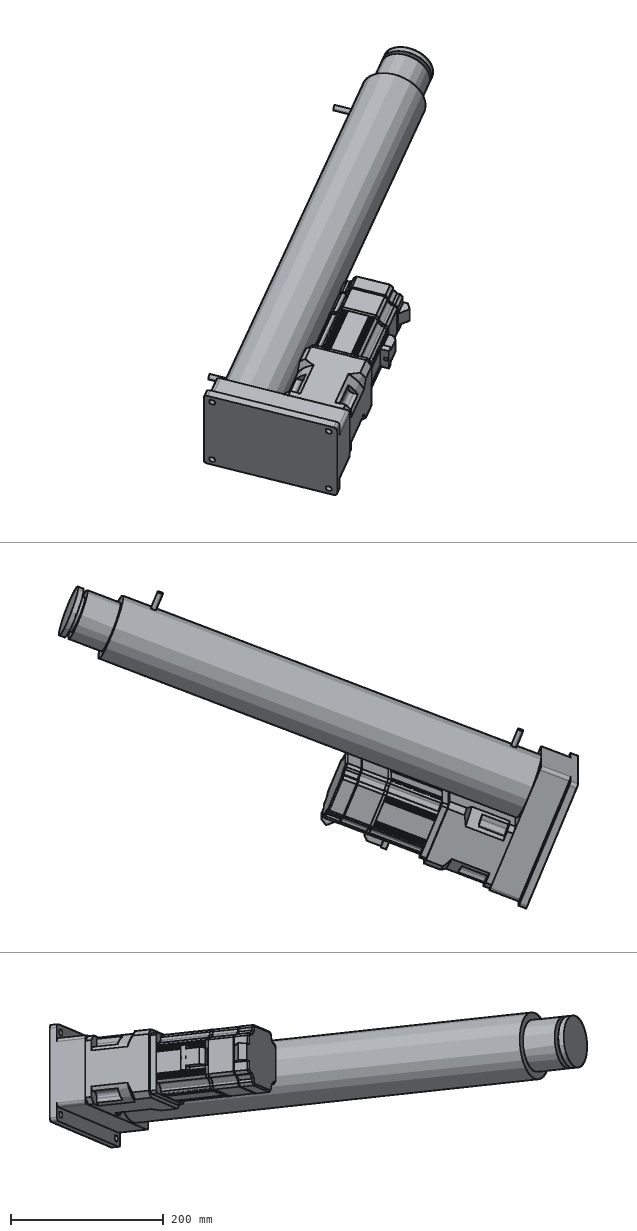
import cadquery as cq
import math


base_width = 184.0
base_left = -45.0
base_corner = 5.0
plate_height = 130.0
plate_thickness = 10.5
box_height = 92.5
base_depth = 52.0
bolt_hole_diameter = 8.5
bolt_spacing_x = 161.0
bolt_spacing_z = 110.0
base_center_x = base_left + base_width / 2

tube_diameter = 88.0
tube_end = 640.5
rod_diameter = 68.5
rod_end = 687.0
neck_diameter = 49.0
neck_end = 692.0
overall_length = 700.0

pin_diameter = 8.0
pin_tip_x = -68.0
pin_seat_x = -39.0
pin_places_y = (90.0, 598.0)

drive_x = 92.5
gearbox_side = 92.0
gearbox_corner_diameter = 119.0
gearbox_end = 144.0
waist_diameter = 103.5
waist_start = 60.0
waist_end = 113.5
cone_end = 120.5
screw_notch_end = 97.0
screw_notch_corner = 29.5
screw_notch_radius = 7.0

motor_side = 81.0
motor_bevel = 3.5
section_relief = 0.35
motor_flange_end = 152.5
finned_end = 225.0
collar_end = 229.0
motor_end = 265.0
face_half_width = 23.0
step_edge = 27.0
step_depth = 3.85
fin_groove_width = 1.5
fin_groove_depth = 2.0
fin_groove_pitch = 3.15
fin_groove_first = 15.0
fin_grooves_per_side = 3
pocket_x = 21.0
pocket_length = 14.0
pocket_width = 4.0
pocket_depth = 1.5

encoder_neck_inset = 1.5
encoder_groove_width = 1.5
encoder_end = 288.5
encoder_edge_chamfer = 2.0
plug_width = 22.5
plug_reach = 12.0
plug_root = 6.0
encoder_plug_tip_y = 279.0
motor_plug_start = 194.5
motor_plug_end = 227.5
cable_end_width = 33.5
cable_end_length = 8.0
cable_hole_diameter = 5.5
cable_hole_depth = 7.0
cable_hole_inset = 4.0


def box_between(width, height, y_start, y_end, center_x):
    """Box centred on Z = 0 that reaches from y_start to y_end."""
    middle = (y_start + y_end) / 2
    return cq.Workplane("XY").box(width, y_end - y_start, height).translate((center_x, middle, 0))


def section_plane(y, center_x=0.0):
    """Sketch plane across the machine whose extrusions grow toward +Y; local x is -X, local y is Z."""
    return cq.Workplane(cq.Plane(origin=(center_x, y, 0), xDir=(-1, 0, 0), normal=(0, 1, 0)))


def disc(diameter, y_start, y_end, center_x=0.0):
    return section_plane(y_start, center_x).circle(diameter / 2).extrude(y_end - y_start)


def make_pin(y):
    pin = cq.Workplane("YZ", origin=(pin_tip_x, y, 0)).circle(pin_diameter / 2)
    return pin.extrude(pin_seat_x - pin_tip_x)


def make_housing():
    plate = box_between(base_width, plate_height, 0, plate_thickness, base_center_x)
    plate = plate.edges("|Y").fillet(base_corner)
    box = box_between(base_width, box_height, 0, base_depth, base_center_x)
    box = box.edges("|Y").fillet(base_corner)
    holes = section_plane(0, base_center_x).rect(bolt_spacing_x, bolt_spacing_z, forConstruction=True)
    holes = holes.vertices().circle(bolt_hole_diameter / 2).extrude(plate_thickness)
    return plate.union(box).cut(holes)


def make_tube():
    tube = disc(tube_diameter, base_depth, tube_end)
    for y in pin_places_y:
        tube = tube.cut(make_pin(y))
    return tube


def make_rod():
    return disc(rod_diameter, tube_end, rod_end)


def make_rod_end():
    neck = disc(neck_diameter, rod_end, neck_end)
    head = disc(rod_diameter, neck_end, overall_length)
    return neck.union(head)


def make_screw_notches():
    """Four corner cutters with a rounded inner edge that clear the gearbox mounting screws."""
    size = gearbox_side / 2
    length = screw_notch_end - waist_start
    center_offset = screw_notch_corner + size / 2
    notches = section_plane(waist_start, drive_x)
    notches = notches.rect(2 * center_offset, 2 * center_offset, forConstruction=True).vertices()
    notches = notches.rect(size, size).extrude(length)
    return notches.edges("|Y").fillet(screw_notch_radius)


def make_gearbox():
    """Square body inside a turned outline whose waist leaves room for the screws."""
    corner = gearbox_corner_diameter / 2
    waist = waist_diameter / 2
    turned = (
        cq.Workplane("XY")
        .moveTo(0, base_depth)
        .lineTo(corner, base_depth)
        .lineTo(corner, waist_start)
        .lineTo(waist, waist_start)
        .lineTo(waist, waist_end)
        .lineTo(corner, cone_end)
        .lineTo(corner, gearbox_end)
        .lineTo(0, gearbox_end)
        .close()
        .revolve(360, (0, 0, 0), (0, 1, 0))
        .translate((drive_x, 0, 0))
    )
    square = box_between(gearbox_side, gearbox_side, base_depth, gearbox_end, drive_x)
    return square.intersect(turned).cut(make_screw_notches())


def make_stepped_section(y_start, y_end, inset=0.0):
    """Square bar whose corners are bevelled and cut back in a step."""
    side = motor_side / 2
    bevel_end = side - (step_edge - face_half_width)
    step_bottom = bevel_end - step_depth
    corner = [
        (side, face_half_width),
        (bevel_end, step_edge),
        (step_bottom, step_edge),
        (step_edge, step_bottom),
        (step_edge, bevel_end),
        (face_half_width, side),
    ]
    outline = []
    for quarter in range(4):
        angle = quarter * math.pi / 2
        for x, z in corner:
            turned_x = x * math.cos(angle) - z * math.sin(angle)
            turned_z = x * math.sin(angle) + z * math.cos(angle)
            outline.append((turned_x, turned_z))
    profile = section_plane(y_start, drive_x).polyline(outline).close()
    if inset:
        profile = profile.offset2D(-inset)
    return profile.extrude(y_end - y_start)


def make_motor_plate(y_start, y_end):
    plate = box_between(motor_side, motor_side, y_start, y_end, drive_x)
    return plate.edges("|Y").chamfer(motor_bevel)


def make_fin_grooves():
    """Fine grooves beside the plain middle strip of each motor face."""
    half = motor_side / 2
    middle_y = (motor_flange_end + finned_end) / 2
    length = finned_end - motor_flange_end
    grooves = cq.Workplane("XY")
    for index in range(fin_grooves_per_side):
        place = fin_groove_first + fin_groove_width / 2 + index * fin_groove_pitch
        for offset in (-place, place):
            across_z = cq.Workplane("XY").box(fin_groove_width, length, fin_groove_depth * 2)
            across_x = cq.Workplane("XY").box(fin_groove_depth * 2, length, fin_groove_width)
            for face in (-half, half):
                grooves = grooves.add(across_z.translate((drive_x + offset, middle_y, face)))
                grooves = grooves.add(across_x.translate((drive_x + face, middle_y, offset)))
    return grooves.combine()


def make_plug(side_outline, width):
    """Plug of the given X-Y outline, centred on Z = 0."""
    plug = cq.Workplane("XY", origin=(0, 0, -width / 2))
    return plug.polyline(side_outline).close().extrude(width)


def make_motor_plug():
    """Power plug with a bevelled outer edge, a wider cable end and a hole for the cable."""
    root_x = drive_x + motor_side / 2
    tip_x = root_x + plug_reach
    bevel = plug_reach - plug_root
    outline = [
        (root_x, motor_plug_start),
        (tip_x, motor_plug_start),
        (tip_x, motor_plug_end - bevel),
        (root_x + plug_root, motor_plug_end),
        (root_x, motor_plug_end),
    ]
    plug = make_plug(outline, plug_width)
    middle_x = (root_x + tip_x) / 2
    cable_end_stop = motor_plug_start + cable_end_length
    plug = plug.union(
        box_between(plug_reach, cable_end_width, motor_plug_start, cable_end_stop, middle_x)
    )
    hole_stop = motor_plug_start + cable_hole_depth
    return plug.cut(disc(cable_hole_diameter, motor_plug_start, hole_stop, tip_x - cable_hole_inset))


def make_motor():
    """Flange, finned stator, collar and brake; flange and collar stand slightly proud."""
    stator = make_stepped_section(motor_flange_end, finned_end, section_relief)
    collar = make_stepped_section(finned_end, collar_end)
    brake = make_stepped_section(collar_end, motor_end, section_relief)
    motor = make_motor_plate(gearbox_end, motor_flange_end)
    motor = motor.union(stator.cut(make_fin_grooves())).union(collar).union(brake)
    pocket = cq.Workplane("XY").box(pocket_length, pocket_width, pocket_depth * 2)
    motor = motor.cut(pocket.translate((drive_x + pocket_x, gearbox_end + pocket_width / 2, motor_side / 2)))
    return motor.union(make_motor_plug())


def make_encoder():
    cap_start = motor_end + encoder_groove_width
    neck = make_stepped_section(motor_end, cap_start, encoder_neck_inset)
    cap = make_stepped_section(cap_start, encoder_end)
    cap = cap.faces(">Y").chamfer(encoder_edge_chamfer)
    root_x = drive_x + motor_side / 2
    outline = [
        (root_x - plug_root, cap_start),
        (root_x, cap_start),
        (root_x + plug_reach, encoder_plug_tip_y),
        (root_x + plug_root, encoder_end),
        (root_x - plug_root, encoder_end),
    ]
    plug = make_plug(outline, plug_width)
    return neck.union(cap).union(plug)


housing = make_housing()
tube = make_tube()
rod = make_rod()
rod_tip = make_rod_end()
pins = [make_pin(y) for y in pin_places_y]
gearbox = make_gearbox()
motor = make_motor()
encoder = make_encoder()

result = cq.Compound.makeCompound(
    [
        housing.val(),
        tube.val(),
        rod.val(),
        rod_tip.val(),
        *[pin.val() for pin in pins],
        gearbox.val(),
        motor.val(),
        encoder.val(),
    ]
)